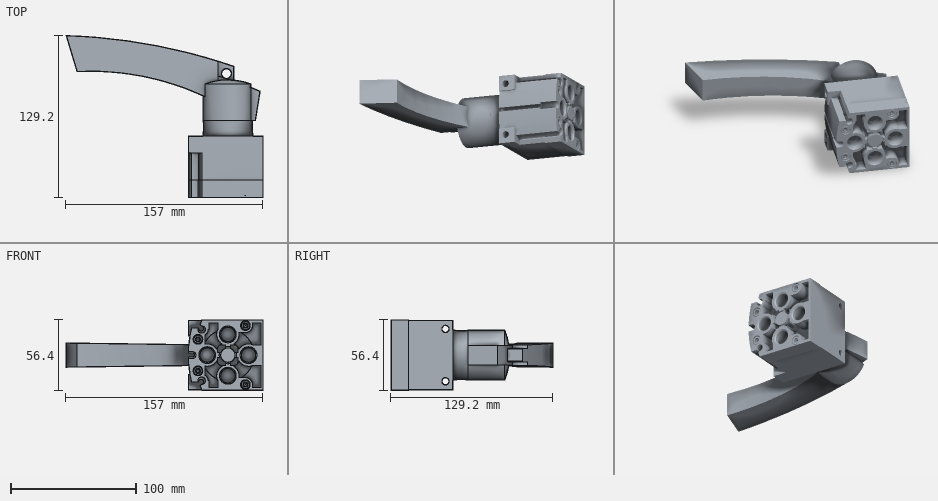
import cadquery as cq
import math


plate_depth = 14.0
housing_back = 49.1
hub_base = 61.4
hub_rim = 90.6
dome_rise = 4.0

right_x = 28.1
left_x = -31.5
flank_corner_x = -28.9
shelf_z = 21.5
block_left_x = -21.0
block_top_left_x = -20.7
lip_x = -22.1
lip_z = 24.3
lip_root_z = 23.2
plate_half_height = 28.18
housing_half_height = 27.6

plate_notch_x = -20.9
plate_notch_z = 20.4
plate_notch_diameter = 6.0
housing_notch_x = -21.4
housing_notch_z = 21.4
housing_notch_diameter = 4.1
plate_groove_width = 5.5
plate_groove_end_x = -25.5
housing_groove_width = 3.1
housing_groove_end_x = -26.5

lug_inner_z = 15.4
lug_depth = 13.5
lug_overlap = 4.7
lug_hole_diameter = 5.5
lug_hole_y = 43.3
lug_hole_z = 20.9

collar_top_radius = 19.8
collar_foot_radius = 20.1
collar_waist_radius = 19.5

port_pitch = 16.5
port_diameter = 11.5
port_chamfer = 1.0
port_depth = 12.5
port_boss_radius = 9.0
port_rib_half_width = 8.2
pocket_depth = 11.8
pocket_step_depth = 12.9
pocket_step_radius = 20.9
pocket_top_z = 25.7
pocket_right_x = 26.4
right_pocket_left_x = 19.6
left_pocket_right_x = -7.7
left_pocket_left_x = -15.0
left_pocket_inner_x = -18.0
notch_wall_radius = 5.2
screw_boss_radius = 5.7

chamber_radius = 10.2
chamber_half_width = 8.2
chamber_depth = 11.8
core_diameter = 11.5
web_width = 4.0
moat_radius = 6.9
moat_depth = 1.5

right_screw_x = 14.0
right_screw_z = 23.5
left_screw_x = -23.9
left_screw_z = 12.5
screw_recess_diameter = 7.7
screw_recess_depth = 1.5
screw_head_diameter = 6.6
screw_head_drop = 0.3
socket_diameter = 4.1
socket_depth = 1.3
socket_cone_diameter = 2.8
socket_cone_taper = 44

hub_radius = 20.02
lever_taper = 0.75
lever_half_thickness = 8.0
slot_half_width = 7.8
tab_left_x = -8.0
tab_right_x = 5.0
tab_half_thickness = 5.3
tab_chamfer = 0.6
tab_hole_x = -1.1
tab_hole_y = 98.9
tab_hole_diameter = 7.7

tip_top = (-128.9, 129.2)
lever_top_middle = (-62.0, 122.1)
tab_end_top = (tab_right_x, 104.5)
tip_bottom = (-120.3, 100.5)
lever_bottom_middle = (-73.8, 97.8)
lever_root_bottom = (-14.1, 78.5)
step_bottom = (tab_left_x, 96.9)
step_middle = (11.0, 90.7)
fin_top = (25.7, 84.8)
fin_bottom = (22.0, hub_base)

port_places = [(port_pitch, 0), (0, port_pitch), (-port_pitch, 0), (0, -port_pitch)]
screw_places = [
    (x, side * z)
    for x, z in [(right_screw_x, right_screw_z), (left_screw_x, left_screw_z)]
    for side in (1, -1)
]


def box(x0, x1, y0, y1, z0, z1):
    """Axis-aligned box between the given limits."""
    return cq.Workplane("XY").box(x1 - x0, y1 - y0, z1 - z0, centered=False).translate((x0, y0, z0))


def sketch(y):
    """Workplane at the given Y, with X right, Z up and extrusion running toward -Y."""
    return cq.Workplane("XZ", origin=(0, y, 0))


def rod(diameter, x, z, y0, y1):
    """Cylinder along Y."""
    return sketch(y1).center(x, z).circle(diameter / 2).extrude(y1 - y0)


def both_halves(shape):
    """The shape together with its mirror image in Z."""
    return shape.union(shape.mirror("XY"))


def section(y0, y1, half_height):
    """Square block with a curved left flank and an open shelf below a lip at each left corner."""
    return (
        sketch(y1)
        .moveTo(right_x, -half_height)
        .lineTo(right_x, half_height)
        .lineTo(block_top_left_x, half_height)
        .lineTo(lip_x, lip_z)
        .lineTo(block_left_x, lip_root_z)
        .lineTo(block_left_x, shelf_z)
        .lineTo(flank_corner_x, shelf_z)
        .threePointArc((left_x, 0), (flank_corner_x, -shelf_z))
        .lineTo(block_left_x, -shelf_z)
        .lineTo(block_left_x, -lip_root_z)
        .lineTo(lip_x, -lip_z)
        .lineTo(block_top_left_x, -half_height)
        .close()
        .extrude(y1 - y0)
    )


def flank_groove(width, end_x, y0, y1):
    """Groove along Y in the middle of the curved flank, with a round bottom."""
    round_x = end_x - width / 2
    groove = box(left_x - width, round_x, y0, y1, -width / 2, width / 2)
    return groove.union(rod(width, round_x, 0, y0, y1))




def pocket_outlines(depth):
    """Upper right and upper left pockets, before the bosses are left standing in them."""
    right = box(0, pocket_right_x, 0, depth, 0, pocket_top_z)
    right = right.cut(box(0, right_screw_x, 0, depth, right_screw_z - screw_boss_radius, pocket_top_z))
    right = right.cut(box(0, right_pocket_left_x, 0, depth, right_screw_z, pocket_top_z))
    right = right.cut(rod(2 * screw_boss_radius, right_screw_x, right_screw_z, 0, depth))

    left = box(left_pocket_left_x, left_pocket_right_x, 0, depth, 0, pocket_top_z)
    left = left.union(box(left_pocket_inner_x, 0, 0, depth, 0, plate_notch_z))
    left = left.cut(rod(2 * notch_wall_radius, plate_notch_x, plate_notch_z, 0, depth))
    left = left.cut(box(left_pocket_inner_x, left_pocket_left_x, 0, depth, plate_notch_z, pocket_top_z))
    left = left.cut(box(left_pocket_right_x, 0, 0, depth, port_pitch, pocket_top_z))
    return right.union(left)


def port_bosses(depth):
    """Round bosses around the ports with the ribs that tie the side ports to the outer walls."""
    bosses = box(port_pitch, right_x, 0, depth, -port_rib_half_width, port_rib_half_width)
    bosses = bosses.union(
        box(left_x, -port_pitch, 0, depth, -port_rib_half_width, port_rib_half_width)
    )
    for x, z in port_places:
        bosses = bosses.union(rod(2 * port_boss_radius, x, z, 0, depth))
    return bosses


def pockets():
    """Stepped weight-saving pockets, deeper near the middle of the plate."""
    deep = pocket_outlines(pocket_step_depth).intersect(
        rod(2 * pocket_step_radius, 0, 0, 0, pocket_step_depth)
    )
    upper = pocket_outlines(pocket_depth).union(deep)
    core = rod(2 * chamber_radius, 0, 0, 0, pocket_step_depth)
    return both_halves(upper).cut(port_bosses(pocket_step_depth)).cut(core)


def chamber():
    """Chamber around the central core, with four webs that dip where they meet the core."""
    half_width = chamber_half_width
    ring = rod(2 * chamber_radius, 0, 0, 0, chamber_depth).intersect(
        box(-half_width, half_width, 0, chamber_depth, -half_width, half_width)
    )
    half_web = web_width / 2
    for half_x, half_z in [(chamber_radius, half_web), (half_web, chamber_radius)]:
        ring = ring.cut(box(-half_x, half_x, 0, chamber_depth, -half_z, half_z))
    ring = ring.union(rod(2 * moat_radius, 0, 0, 0, moat_depth))
    return ring.cut(rod(core_diameter, 0, 0, 0, chamber_depth))


def port(x, z):
    """Blind port with a chamfered mouth."""
    mouth = sketch(0).center(x, z).circle(port_diameter / 2 + port_chamfer)
    mouth = mouth.workplane(offset=-port_chamfer).circle(port_diameter / 2).loft()
    return rod(port_diameter, x, z, 0, port_depth).union(mouth)


def screw_recess(x, z):
    """Recess around a screw head, with the drive socket in the head."""
    head = rod(screw_head_diameter, x, z, screw_head_drop, screw_recess_depth)
    socket_floor = screw_head_drop + socket_depth
    cone = sketch(socket_floor).center(x, z).circle(socket_cone_diameter / 2)
    cone = cone.extrude(-socket_cone_diameter / 2, taper=socket_cone_taper)
    socket = rod(socket_diameter, x, z, 0, socket_floor)
    recess = rod(screw_recess_diameter, x, z, 0, screw_recess_depth).cut(head)
    return recess.union(socket).union(cone)


def make_port_plate():
    """Plate with the four ports, the pockets and the screws."""
    plate = section(0, plate_depth, plate_half_height)
    plate = plate.cut(
        both_halves(rod(plate_notch_diameter, plate_notch_x, plate_notch_z, 0, plate_depth))
    )
    plate = plate.cut(flank_groove(plate_groove_width, plate_groove_end_x, 0, plate_depth))
    plate = plate.cut(pockets()).cut(chamber())
    for x, z in port_places:
        plate = plate.cut(port(x, z))
    for x, z in screw_places:
        plate = plate.cut(screw_recess(x, z))
    return plate




def collar():
    """Round collar with a hollowed waist that carries the handle."""
    return (
        cq.Workplane("XY")
        .moveTo(0, housing_back)
        .lineTo(collar_foot_radius, housing_back)
        .threePointArc(
            (collar_waist_radius, (housing_back + hub_base) / 2), (collar_top_radius, hub_base)
        )
        .lineTo(0, hub_base)
        .close()
        .revolve(360, (0, 0, 0), (0, 1, 0))
    )


def make_housing():
    """Housing with its mounting lugs and the collar."""
    housing = section(plate_depth, housing_back, housing_half_height)
    notch = rod(housing_notch_diameter, housing_notch_x, housing_notch_z, plate_depth, housing_back)
    housing = housing.cut(both_halves(notch))
    housing = housing.cut(
        flank_groove(housing_groove_width, housing_groove_end_x, plate_depth, housing_back)
    )
    lug_right_x = block_left_x + lug_overlap
    lug_front = housing_back - lug_depth
    lug = box(left_x, lug_right_x, lug_front, housing_back, lug_inner_z, housing_half_height)
    housing = housing.union(both_halves(lug)).union(collar())
    lug_hole = (
        cq.Workplane("YZ", origin=(left_x, lug_hole_y, lug_hole_z))
        .circle(lug_hole_diameter / 2)
        .extrude(right_x - left_x)
    )
    return housing.cut(both_halves(lug_hole))




def lever_blank():
    """Curved lever and tab outline in one thickness."""
    return (
        cq.Workplane("XY", origin=(0, 0, -hub_radius))
        .moveTo(*tip_top)
        .threePointArc(lever_top_middle, tab_end_top)
        .lineTo(tab_right_x, hub_base)
        .lineTo(lever_root_bottom[0], hub_base)
        .lineTo(*lever_root_bottom)
        .threePointArc(lever_bottom_middle, tip_bottom)
        .close()
        .extrude(2 * hub_radius)
    )


def fin():
    """Part of the lever that fills the hub slot and stands out on its far side."""
    return (
        cq.Workplane("XY", origin=(0, 0, -slot_half_width))
        .moveTo(*step_bottom)
        .threePointArc(step_middle, fin_top)
        .lineTo(*fin_bottom)
        .lineTo(tab_left_x, hub_base)
        .close()
        .extrude(2 * slot_half_width)
    )


def taper_wedge():
    """Wedge that thins the lever from its tip toward the hub."""
    slope = math.tan(math.radians(lever_taper))
    tip_half = lever_half_thickness - slope * tip_top[0]
    end_half = lever_half_thickness - slope * fin_top[0]
    return (
        cq.Workplane("XZ")
        .moveTo(tip_top[0], -tip_half)
        .lineTo(tip_top[0], tip_half)
        .lineTo(fin_top[0], end_half)
        .lineTo(fin_top[0], -end_half)
        .close()
        .extrude(-tip_top[1])
    )


def dome_middle():
    """Point of the dome profile halfway between the axis and the rim."""
    sphere_radius = (hub_radius**2 + dome_rise**2) / (2 * dome_rise)
    x = hub_radius / 2
    return x, hub_rim + dome_rise - sphere_radius + math.sqrt(sphere_radius**2 - x**2)


def hub():
    """Round hub with a domed end, slotted above the fin."""
    solid = (
        cq.Workplane("XY")
        .moveTo(0, hub_base)
        .lineTo(hub_radius, hub_base)
        .lineTo(hub_radius, hub_rim)
        .threePointArc(dome_middle(), (0, hub_rim + dome_rise))
        .close()
        .revolve(360, (0, 0, 0), (0, 1, 0))
    )
    slot = box(-hub_radius, hub_radius, fin_top[1], tip_top[1], -slot_half_width, slot_half_width)
    return solid.cut(slot)


def make_handle():
    """Lever, fin, drilled tab and hub in one piece."""
    blank = lever_blank()
    lever = blank.cut(box(tab_left_x, tab_right_x, 0, tip_top[1], -hub_radius, hub_radius))
    lever = lever.intersect(taper_wedge()).union(fin())
    tab = blank.intersect(
        box(tab_left_x, tab_right_x, 0, tip_top[1], -tab_half_thickness, tab_half_thickness)
    )
    tab = tab.faces(">X").edges("|Y").chamfer(tab_chamfer)
    tab_hole = (
        cq.Workplane("XY", origin=(tab_hole_x, tab_hole_y, -hub_radius))
        .circle(tab_hole_diameter / 2)
        .extrude(2 * hub_radius)
    )
    return lever.union(tab).cut(tab_hole).union(hub())


port_plate = make_port_plate()
housing = make_housing()
handle = make_handle()

result = cq.Compound.makeCompound([port_plate.val(), housing.val(), handle.val()])